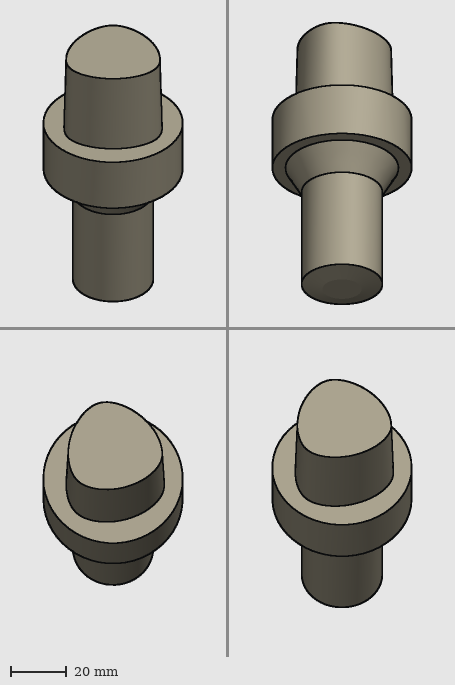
import cadquery as cq
import math

total_height = 100.0
flange_top = 70.0
flange_bottom = 50.0
neck_bottom = 40.0
lead_in_height = 2.0

flange_diameter = 50.0
shank_diameter = 29.0
neck_angle = math.radians(30)
lead_in_angle = math.radians(15)
neck_diameter = shank_diameter + 2 * (flange_bottom - neck_bottom) * math.tan(neck_angle)
shank_end_diameter = shank_diameter - 2 * lead_in_height / math.tan(lead_in_angle)

polygon_base_width = 35.2
polygon_taper = 1 / 20
eccentricity = 1.1
points_per_outline = 48


def lobed_outline(width):
    """Points of a constant-width three-lobed curve with one lobe toward -Y."""
    points = []
    for i in range(points_per_outline):
        t = 2 * math.pi * i / points_per_outline
        along = width / 2 * math.cos(t) + eccentricity * (2 * math.cos(2 * t) - math.cos(4 * t))
        across = width / 2 * math.sin(t) - eccentricity * (2 * math.sin(2 * t) + math.sin(4 * t))
        points.append((across, -along))
    return points


def turned_body():
    """Shank with a conical end, conical neck and flange, revolved about Z."""
    return (
        cq.Workplane("XZ")
        .moveTo(0, 0)
        .lineTo(shank_end_diameter / 2, 0)
        .lineTo(shank_diameter / 2, lead_in_height)
        .lineTo(shank_diameter / 2, neck_bottom)
        .lineTo(neck_diameter / 2, flange_bottom)
        .lineTo(flange_diameter / 2, flange_bottom)
        .lineTo(flange_diameter / 2, flange_top)
        .lineTo(0, flange_top)
        .close()
        .revolve(360, (0, 0, 0), (0, 1, 0))
    )


def tapered_polygon():
    """Lobed polygon lofted from the flange face to its smaller top."""
    height = total_height - flange_top
    top_width = polygon_base_width - polygon_taper * height
    return (
        cq.Workplane("XY", origin=(0, 0, flange_top))
        .spline(lobed_outline(polygon_base_width), periodic=True)
        .close()
        .workplane(offset=height)
        .spline(lobed_outline(top_width), periodic=True)
        .close()
        .loft(ruled=True)
    )


result = turned_body().union(tapered_polygon())